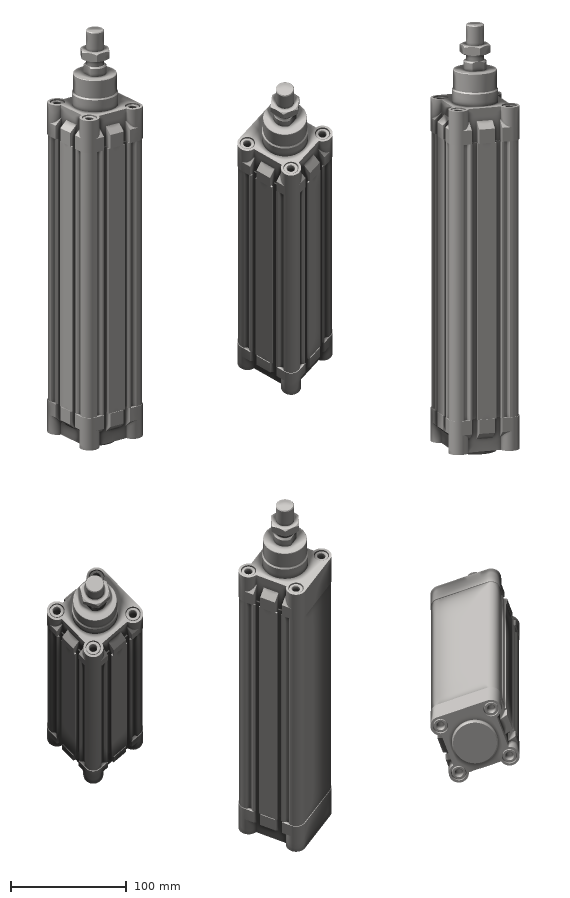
import cadquery as cq
import math

TOTAL_HEIGHT = 379.0
REAR_BOSS_HEIGHT = 4.0
CAP_HEIGHT = 30.0
REAR_CAP_TOP = REAR_BOSS_HEIGHT + CAP_HEIGHT
FRONT_CAP_TOP = 310.0
FRONT_CAP_BOTTOM = FRONT_CAP_TOP - CAP_HEIGHT
BARREL_LENGTH = FRONT_CAP_BOTTOM - REAR_CAP_TOP
COLLAR_STEP_Z = 322.0
COLLAR_TOP = 339.0
THREAD_LENGTH = 32.0
THREAD_BOTTOM = TOTAL_HEIGHT - THREAD_LENGTH
NUT_BOTTOM = 353.2
NUT_HEIGHT = 8.0

CAP_WIDTH = 64.0
CAP_HALF = CAP_WIDTH / 2
CORE_WIDTH = 50.8
CORE_HALF = CORE_WIDTH / 2
COLUMN_PITCH = 46.5
COLUMN_OFFSET = COLUMN_PITCH / 2
COLUMN_RADIUS = CAP_HALF - COLUMN_OFFSET
PAD_HALF_WIDTH = 7.2
CORNER_PAD_START = 14.0
PAD_HEIGHT = 12.5
PAD_SLOPE_HEIGHT = 6.0

BOSS_DIAMETER = 40.0
COLLAR_DIAMETER = 38.0
BOSS_CHAMFER = 1.0
COLLAR_CHAMFER = 0.5

RECESS_DIAMETER = 13.3
RECESS_DEPTH = 3.8
SCREW_HEAD_DIAMETER = 12.0
SCREW_FACE_DIAMETER = 11.5
SCREW_FACE_DEPTH = 0.8
THREAD_MOUTH_DIAMETER = 8.0
THREAD_CORE_DIAMETER = 7.0
SCREW_HOLE_DEPTH = 17.0
DRILL_POINT_ANGLE = 118.0

BARREL_WIDTH = 63.0
BARREL_HALF = BARREL_WIDTH / 2
SLOT_INNER = 8.7
SLOT_OUTER = 13.0
UNDERCUT_INNER = PAD_HALF_WIDTH
UNDERCUT_OUTER = CORNER_PAD_START
SLOT_LIP = 1.5
SLOT_FLOOR = 26.5
SLOT_LIP_CHAMFER = 1.0
GROOVE_MOUTH_INNER = 15.0
GROOVE_FLOOR_INNER = 17.5
GROOVE_FLOOR_OUTER = 19.5
GROOVE_MOUTH_OUTER = 21.2
GROOVE_DEPTH = 2.3

ROD_DIAMETER = 20.0
ROD_FLATS = 17.0
ROD_SHOULDER_CHAMFER = 1.0
THREAD_DIAMETER = 16.0
THREAD_TIP_DIAMETER = 14.5
NUT_FLATS = 24.0
NUT_CHAMFER_ANGLE = 30.0

DETAILED_SIDES = (0, 90, -90)
MIRROR_SIGNS = (-1, 1)
CORNERS = [(x * COLUMN_OFFSET, y * COLUMN_OFFSET) for x in MIRROR_SIGNS for y in MIRROR_SIGNS]


def cylinder(diameter, bottom, top):
    return cq.Workplane("XY").workplane(offset=bottom).circle(diameter / 2).extrude(top - bottom)


def turn(body, angle):
    return body.rotate((0, 0, 0), (0, 0, 1), angle)


def sloped_pad(x_start, x_end):
    """Pad on the -Y face of a cap, standing on z = 0, with a top that slopes up to the core."""
    outline = [
        (0, 0),
        (-CAP_HALF, 0),
        (-CAP_HALF, PAD_HEIGHT),
        (-CORE_HALF, PAD_HEIGHT + PAD_SLOPE_HEIGHT),
        (0, PAD_HEIGHT + PAD_SLOPE_HEIGHT),
    ]
    return cq.Workplane("YZ").workplane(offset=x_start).polyline(outline).close().extrude(x_end - x_start)


def screw_hole():
    """Recess around a screw head with a threaded blind hole, down from the outer cap face."""
    recess = RECESS_DIAMETER / 2
    head = SCREW_HEAD_DIAMETER / 2
    face = SCREW_FACE_DIAMETER / 2
    thread_mouth = THREAD_MOUTH_DIAMETER / 2
    thread_core = THREAD_CORE_DIAMETER / 2
    face_z = CAP_HEIGHT - SCREW_FACE_DEPTH
    point_height = thread_core / math.tan(math.radians(DRILL_POINT_ANGLE / 2))
    outline = [
        (0, CAP_HEIGHT),
        (recess, CAP_HEIGHT),
        (recess, CAP_HEIGHT - RECESS_DEPTH),
        (head, CAP_HEIGHT - RECESS_DEPTH),
        (head, face_z - (head - face)),
        (face, face_z),
        (thread_mouth, face_z),
        (thread_core, face_z - (thread_mouth - thread_core)),
        (thread_core, CAP_HEIGHT - SCREW_HOLE_DEPTH),
        (0, CAP_HEIGHT - SCREW_HOLE_DEPTH - point_height),
    ]
    return cq.Workplane("XZ").polyline(outline).close().revolve(360, (0, 0, 0), (0, 1, 0))


def end_cap():
    """Cap with its barrel side on z = 0 and its outer face on top."""
    cap = cq.Workplane("XY").rect(CORE_WIDTH, CORE_WIDTH).extrude(CAP_HEIGHT)
    plain_side = cq.Workplane("XY").center(0, CAP_HALF / 2).rect(COLUMN_PITCH, CAP_HALF).extrude(CAP_HEIGHT)
    columns = cq.Workplane("XY").pushPoints(CORNERS).circle(COLUMN_RADIUS).extrude(CAP_HEIGHT)
    cap = cap.union(plain_side).union(columns)
    for angle in DETAILED_SIDES:
        cap = cap.union(turn(sloped_pad(-PAD_HALF_WIDTH, PAD_HALF_WIDTH), angle))
        cap = cap.union(turn(sloped_pad(CORNER_PAD_START, COLUMN_OFFSET), angle))
        cap = cap.union(turn(sloped_pad(-COLUMN_OFFSET, -CORNER_PAD_START), angle))
    for x, y in CORNERS:
        cap = cap.cut(screw_hole().translate((x, y, 0)))
    return cap


def barrel_cutter(outline, side):
    """Prism along the barrel from an (x, y) outline, on the chosen half of the -Y face."""
    points = [(side * x, y) for x, y in outline]
    return cq.Workplane("XY").polyline(points).close().extrude(BARREL_LENGTH)


def barrel():
    """Extruded profile with T-slots and trapezoid grooves on three sides."""
    body = cq.Workplane("XY").rect(BARREL_WIDTH, BARREL_WIDTH).extrude(BARREL_LENGTH)
    body = body.edges("|Z").fillet(BARREL_HALF - COLUMN_OFFSET)
    lip_y = SLOT_LIP - BARREL_HALF
    t_slot = [
        (SLOT_INNER, -BARREL_HALF),
        (SLOT_INNER, lip_y),
        (UNDERCUT_INNER, lip_y),
        (UNDERCUT_INNER, -SLOT_FLOOR),
        (UNDERCUT_OUTER, -SLOT_FLOOR),
        (UNDERCUT_OUTER, lip_y),
        (SLOT_OUTER, lip_y),
        (SLOT_OUTER, SLOT_LIP_CHAMFER - BARREL_HALF),
        (SLOT_OUTER + SLOT_LIP_CHAMFER, -BARREL_HALF),
    ]
    groove = [
        (GROOVE_MOUTH_INNER, -BARREL_HALF),
        (GROOVE_FLOOR_INNER, GROOVE_DEPTH - BARREL_HALF),
        (GROOVE_FLOOR_OUTER, GROOVE_DEPTH - BARREL_HALF),
        (GROOVE_MOUTH_OUTER, -BARREL_HALF),
    ]
    for angle in DETAILED_SIDES:
        for side in MIRROR_SIGNS:
            body = body.cut(turn(barrel_cutter(t_slot, side), angle))
            body = body.cut(turn(barrel_cutter(groove, side), angle))
    return body.translate((0, 0, REAR_CAP_TOP))


def make_housing():
    """Barrel, both caps, rear boss and front collar as one solid."""
    front_cap = end_cap().translate((0, 0, FRONT_CAP_BOTTOM))
    rear_cap = end_cap().mirror("XY").translate((0, 0, REAR_CAP_TOP))
    rear_boss = cylinder(BOSS_DIAMETER, 0, REAR_CAP_TOP).faces("<Z").chamfer(BOSS_CHAMFER)
    front_boss = cylinder(BOSS_DIAMETER, FRONT_CAP_BOTTOM, COLLAR_STEP_Z)
    front_boss = front_boss.faces(">Z").chamfer((BOSS_DIAMETER - COLLAR_DIAMETER) / 2)
    collar = cylinder(COLLAR_DIAMETER, FRONT_CAP_BOTTOM, COLLAR_TOP).faces(">Z").chamfer(COLLAR_CHAMFER)
    housing = barrel()
    for piece in (front_cap, rear_cap, rear_boss, front_boss, collar):
        housing = housing.union(piece)
    return housing


def make_rod():
    """Piston rod with two wrench flats and a plain cylinder for its thread."""
    rod = cylinder(ROD_DIAMETER, COLLAR_TOP, THREAD_BOTTOM).faces(">Z").chamfer(ROD_SHOULDER_CHAMFER)
    flats = cq.Workplane("XY").workplane(offset=COLLAR_TOP).rect(ROD_DIAMETER, ROD_FLATS)
    rod = rod.intersect(flats.extrude(THREAD_BOTTOM - COLLAR_TOP))
    thread = cylinder(THREAD_DIAMETER, COLLAR_TOP, TOTAL_HEIGHT)
    thread = thread.faces(">Z").chamfer((THREAD_DIAMETER - THREAD_TIP_DIAMETER) / 2)
    return rod.union(thread)


def make_nut():
    """Hexagon nut with corners on +Y and -Y, chamfered at both ends."""
    corner_diameter = NUT_FLATS / math.cos(math.pi / 6)
    hexagon = cq.Workplane("XY").polygon(6, corner_diameter).extrude(NUT_HEIGHT)
    chamfer_width = (corner_diameter - NUT_FLATS) / 2
    chamfer_height = chamfer_width * math.tan(math.radians(NUT_CHAMFER_ANGLE))
    envelope = cylinder(corner_diameter, 0, NUT_HEIGHT).faces("<Z or >Z").edges()
    envelope = envelope.chamfer(chamfer_height, chamfer_width)
    nut = turn(hexagon, 90).intersect(envelope).cut(cylinder(THREAD_DIAMETER, 0, NUT_HEIGHT))
    return nut.translate((0, 0, NUT_BOTTOM))


housing = make_housing()
rod = make_rod()
nut = make_nut()

result = cq.Compound.makeCompound([housing.val(), rod.val(), nut.val()])